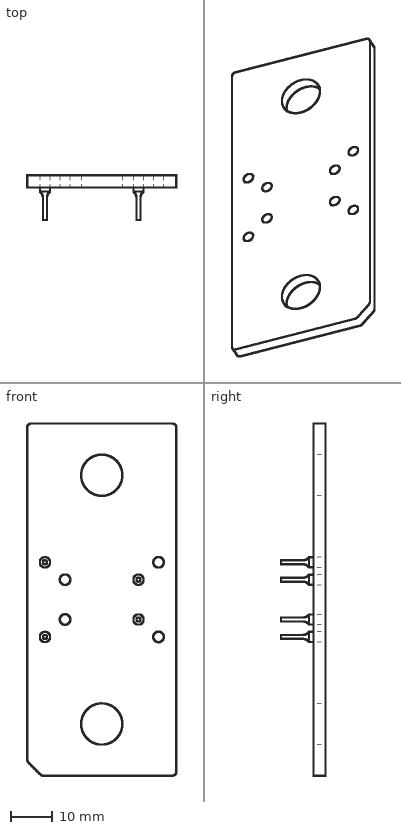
import cadquery as cq

plate_width = 36.0
plate_height = 85.0
plate_thickness = 3.0
corner_radius = 1.0
corner_cut = 3.5

mount_hole_diameter = 9.9
mount_hole_spacing = 60.0

pin_hole_diameter = 2.5
outer_hole_x = 13.7
outer_hole_z = 9.0
inner_hole_x = 8.85
inner_hole_z = 4.8

overall_depth = 10.85
tip_reach = overall_depth - plate_thickness
collar_reach = 1.0
flare_reach = 2.5
collar_radius = pin_hole_diameter / 2
tip_radius = 0.5

mount_hole_points = [(0, side * mount_hole_spacing / 2) for side in (-1, 1)]
pin_points = []
open_hole_points = []
for side in (-1, 1):
    pin_points.append((-outer_hole_x, side * outer_hole_z))
    pin_points.append((inner_hole_x, side * inner_hole_z))
    open_hole_points.append((outer_hole_x, side * outer_hole_z))
    open_hole_points.append((-inner_hole_x, side * inner_hole_z))


def through_cutters(points, diameter):
    """Cylinders along Y that cross the full plate thickness."""
    return cq.Workplane("XZ").pushPoints(points).circle(diameter / 2).extrude(-plate_thickness)


def make_plate():
    left = -plate_width / 2
    right = plate_width / 2
    bottom = -plate_height / 2
    top = plate_height / 2
    outline = [
        (left + corner_cut, bottom),
        (right, bottom),
        (right, top),
        (left, top),
        (left, bottom + corner_cut),
    ]
    blank = cq.Workplane("XZ").polyline(outline).close().extrude(-plate_thickness)
    blank = blank.edges("|Y").fillet(corner_radius)
    mount_holes = through_cutters(mount_hole_points, mount_hole_diameter)
    pin_holes = through_cutters(pin_points + open_hole_points, pin_hole_diameter)
    return blank.cut(mount_holes).cut(pin_holes)


def make_pin(x, z):
    """Turned pin, flush with the back of the plate and pointing toward -Y."""
    half_profile = (
        cq.Workplane("XY")
        .moveTo(0, -tip_reach)
        .lineTo(tip_radius, -tip_reach)
        .lineTo(tip_radius, -flare_reach)
        .tangentArcPoint((collar_radius, -collar_reach), relative=False)
        .lineTo(collar_radius, plate_thickness)
        .lineTo(0, plate_thickness)
        .close()
    )
    pin = half_profile.revolve(360, (0, 0, 0), (0, 1, 0))
    return pin.translate((x, 0, z))


plate = make_plate()
pins = [make_pin(x, z) for x, z in pin_points]

result = cq.Compound.makeCompound([plate.val(), *[pin.val() for pin in pins]])